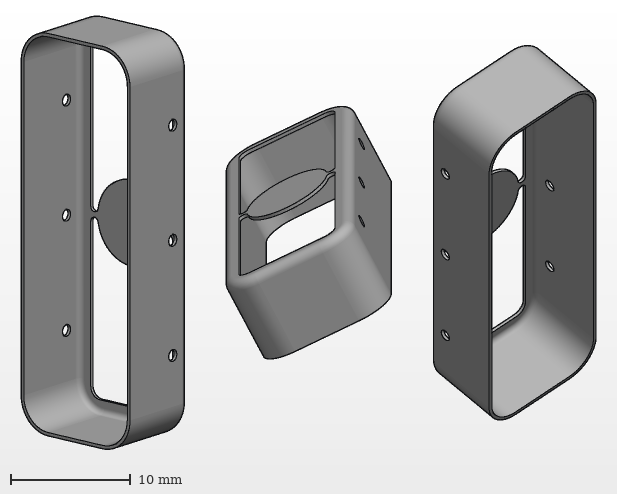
import cadquery as cq
import math

width = 12.0
depth = 7.5
height = 35.0
corner_radius = 3.0
wall = 0.3
back_edge_radius = 0.8
inner_edge_radius = back_edge_radius - wall

rim = 1.5
window_corner_radius = 1.0
disc_radius = 3.75
bridge_height = 0.5

hole_diameter = 1.0
hole_spacing = 10.0
hole_from_back = 2.0
hole_count = 3

back_y = depth / 2
floor_y = back_y - wall


def rounded_block(size_x, size_z, radius, start_y, end_y):
    """Block from start_y to end_y, with rounded corners in the XZ plane."""
    return (
        cq.Workplane("XY")
        .box(size_x, end_y - start_y, size_z)
        .edges("|Y")
        .fillet(radius)
        .translate((0, (start_y + end_y) / 2, 0))
    )


def make_tray():
    outside = rounded_block(width, height, corner_radius, -back_y, back_y)
    outside = outside.faces(">Y").edges().fillet(back_edge_radius)
    inside = rounded_block(
        width - 2 * wall, height - 2 * wall, corner_radius - wall, -back_y, floor_y
    )
    inside = inside.faces(">Y").edges().fillet(inner_edge_radius)
    return outside.cut(inside)


def make_window_opening():
    """Upper half of the window: it runs around the disc and the bridges.

    The round at each bridge touches the window side, the bridge and the disc.
    """
    side = width / 2 - rim
    top = height / 2 - rim
    bridge_half = bridge_height / 2
    half_sum = side + disc_radius - bridge_half
    round_radius = half_sum - math.sqrt(
        half_sum**2 - (side**2 + bridge_half**2 - disc_radius**2)
    )
    center_x = side - round_radius
    center_z = bridge_half + round_radius
    touch = disc_radius / (disc_radius + round_radius)
    touch_x = center_x * touch
    touch_z = center_z * touch
    corner_x = side - window_corner_radius
    corner_z = top - window_corner_radius
    diagonal = window_corner_radius * math.sqrt(0.5)

    return (
        cq.Workplane("XZ", origin=(0, floor_y, 0))
        .moveTo(-touch_x, touch_z)
        .threePointArc((0, disc_radius), (touch_x, touch_z))
        .threePointArc((center_x, bridge_half), (side, center_z))
        .lineTo(side, corner_z)
        .threePointArc((corner_x + diagonal, corner_z + diagonal), (corner_x, top))
        .lineTo(-corner_x, top)
        .threePointArc((-corner_x - diagonal, corner_z + diagonal), (-side, corner_z))
        .lineTo(-side, center_z)
        .threePointArc((-center_x, bridge_half), (-touch_x, touch_z))
        .close()
        .extrude(-wall)
    )


def make_pin_holes():
    return (
        cq.Workplane("YZ", origin=(0, back_y - hole_from_back, 0))
        .rarray(0.35, hole_spacing, 1, hole_count)
        .circle(hole_diameter / 2)
        .extrude(width / 2, both=True)
    )


upper_opening = make_window_opening()
lower_opening = upper_opening.mirror("XY")
body = make_tray().cut(upper_opening).cut(lower_opening).cut(make_pin_holes())
result = body.val().Solids()[0]